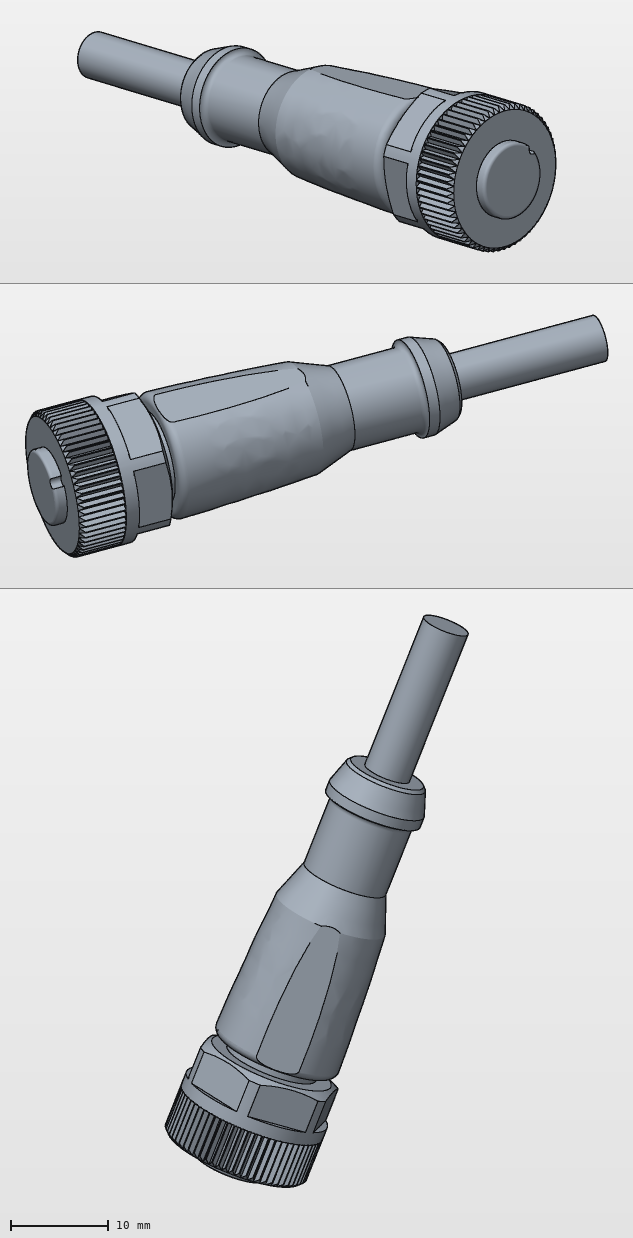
import cadquery as cq
import math


OVERALL_LENGTH = 61.51
COLLAR_START = 16.75
COLLAR_RIM_START = 19.65
COLLAR_RIM_END = 20.8
SHOULDER_START = 28.75
GRIP_START = 32.8
GRIP_END = 48.75
NUT_START = 49.7
HEX_END = 53.85
KNURL_START = 55.3
NUT_END = 60.3

CABLE_RADIUS = 4.9 / 2
COLLAR_FACE_RADIUS = 4.0
COLLAR_CONE_RADIUS = 4.34
COLLAR_EDGE = 0.35
COLLAR_RADIUS = 10.4 / 2
NECK_RADIUS = 9.0 / 2
COLLAR_ROOT_FILLET = 0.6

GRIP_START_RADIUS = 5.97
GRIP_MID_RADIUS = 6.46
GRIP_RADIUS = 6.73
GRIP_END_FILLET = 0.85
FLAT_START_HEIGHT = 5.88
FLAT_END_HEIGHT = 6.34
SPINDLE_RADIUS = 9.8 / 2

NUT_RADIUS = 15.5 / 2
NUT_FACE_RADIUS = 6.55
NUT_FACE_CHAMFER_LENGTH = 0.6
KNURL_ROOT_RADIUS = 14.5 / 2
HEX_ACROSS_FLATS = 14.0
HEX_SIDES = 6
HEX_FLAT_ANGLE = 12.0
KNURL_COUNT = 64
KNURL_WIDTH = 0.67

INSERT_RADIUS = 4.03
INSERT_EDGE_FILLET = 0.35
KEYWAY_RADIUS = 0.55
KEYWAY_ANGLE = 45.0


def cylinder(start, end, radius):
    """Cylinder on the X axis from start to end."""
    return cq.Workplane("YZ").workplane(offset=start).circle(radius).extrude(end - start)


def revolved(profile):
    """Turn an (X, radius) profile about the X axis."""
    return profile.close().revolve(360, (0, 0, 0), (1, 0, 0))


def make_collar_and_neck():
    """Tapered collar with a rounded root leading into the plain neck."""
    root_end = COLLAR_RIM_END + COLLAR_ROOT_FILLET
    root_mid_offset = COLLAR_ROOT_FILLET * (1 - math.sqrt(0.5))
    profile = (
        cq.Workplane("XY")
        .moveTo(COLLAR_START, 0)
        .lineTo(COLLAR_START, COLLAR_FACE_RADIUS)
        .lineTo(COLLAR_START + COLLAR_EDGE, COLLAR_CONE_RADIUS)
        .lineTo(COLLAR_RIM_START, COLLAR_RADIUS)
        .lineTo(COLLAR_RIM_END, COLLAR_RADIUS)
        .lineTo(COLLAR_RIM_END, NECK_RADIUS + COLLAR_ROOT_FILLET)
        .threePointArc(
            (COLLAR_RIM_END + root_mid_offset, NECK_RADIUS + root_mid_offset),
            (root_end, NECK_RADIUS),
        )
        .lineTo(SHOULDER_START, NECK_RADIUS)
        .lineTo(SHOULDER_START, 0)
    )
    return revolved(profile)


def make_grip_flat_cutter():
    """Wedge above the slightly tapered upper flat of the grip."""
    slope = (FLAT_END_HEIGHT - FLAT_START_HEIGHT) / (GRIP_END - GRIP_START)
    shoulder_height = FLAT_START_HEIGHT - slope * (GRIP_START - SHOULDER_START)
    clear_height = 2 * GRIP_RADIUS
    return (
        cq.Workplane("XZ")
        .moveTo(SHOULDER_START, shoulder_height)
        .lineTo(GRIP_END, FLAT_END_HEIGHT)
        .lineTo(GRIP_END, clear_height)
        .lineTo(SHOULDER_START, clear_height)
        .close()
        .extrude(GRIP_RADIUS, both=True)
    )


def make_grip():
    """Shoulder cone and slightly bulged grip with two opposite flats."""
    fillet_start = GRIP_END - GRIP_END_FILLET
    fillet_leg = GRIP_END_FILLET * math.sqrt(0.5)
    fillet_center_radius = GRIP_RADIUS - GRIP_END_FILLET
    profile = (
        cq.Workplane("XY")
        .moveTo(SHOULDER_START, 0)
        .lineTo(SHOULDER_START, NECK_RADIUS)
        .lineTo(GRIP_START, GRIP_START_RADIUS)
        .threePointArc(
            ((GRIP_START + fillet_start) / 2, GRIP_MID_RADIUS),
            (fillet_start, GRIP_RADIUS),
        )
        .threePointArc(
            (fillet_start + fillet_leg, fillet_center_radius + fillet_leg),
            (GRIP_END, fillet_center_radius),
        )
        .lineTo(GRIP_END, 0)
    )
    upper_cutter = make_grip_flat_cutter()
    lower_cutter = upper_cutter.mirror("XY")
    return revolved(profile).cut(upper_cutter).cut(lower_cutter)


def cut_hex(nut):
    """Mill six flats whose runs stop at a shoulder at HEX_END."""
    across_corners = HEX_ACROSS_FLATS / math.cos(math.pi / HEX_SIDES)
    corner_to_flat_angle = 180 / HEX_SIDES
    length = HEX_END - NUT_START
    hexagon = (
        cq.Workplane("YZ")
        .workplane(offset=NUT_START)
        .polygon(HEX_SIDES, across_corners)
        .extrude(length)
        .rotate((0, 0, 0), (1, 0, 0), corner_to_flat_angle + HEX_FLAT_ANGLE)
    )
    ring = cylinder(NUT_START, HEX_END, across_corners).cut(hexagon)
    return nut.cut(ring)


def cut_knurl(nut):
    """Straight V grooves to the nut end, KNURL_WIDTH wide at the nut radius."""
    depth = NUT_RADIUS - KNURL_ROOT_RADIUS
    outer_radius = NUT_RADIUS + depth
    groove = (
        cq.Workplane("YZ")
        .workplane(offset=KNURL_START)
        .moveTo(KNURL_ROOT_RADIUS, 0)
        .lineTo(outer_radius, KNURL_WIDTH)
        .lineTo(outer_radius, -KNURL_WIDTH)
        .close()
        .extrude(NUT_END - KNURL_START)
        .val()
    )
    pitch = 360 / KNURL_COUNT
    grooves = [
        groove.rotate(cq.Vector(0, 0, 0), cq.Vector(1, 0, 0), i * pitch)
        for i in range(KNURL_COUNT)
    ]
    return nut.cut(cq.Workplane(obj=cq.Compound.makeCompound(grooves)))


def make_nut():
    """Chamfered nut body with wrench flats and a knurled end."""
    end_chamfer = NUT_RADIUS - KNURL_ROOT_RADIUS
    profile = (
        cq.Workplane("XY")
        .moveTo(NUT_START, 0)
        .lineTo(NUT_START, NUT_FACE_RADIUS)
        .lineTo(NUT_START + NUT_FACE_CHAMFER_LENGTH, NUT_RADIUS)
        .lineTo(NUT_END - end_chamfer, NUT_RADIUS)
        .lineTo(NUT_END, KNURL_ROOT_RADIUS)
        .lineTo(NUT_END, 0)
    )
    return cut_knurl(cut_hex(revolved(profile)))


def make_insert():
    """Round contact carrier with a rounded rim and one keyway groove."""
    insert = cylinder(NUT_END, OVERALL_LENGTH, INSERT_RADIUS)
    insert = insert.faces(">X").edges().fillet(INSERT_EDGE_FILLET)
    keyway_angle = math.radians(KEYWAY_ANGLE)
    keyway = cylinder(NUT_END, OVERALL_LENGTH, KEYWAY_RADIUS).translate(
        (0, INSERT_RADIUS * math.cos(keyway_angle), INSERT_RADIUS * math.sin(keyway_angle))
    )
    return insert.cut(keyway)


cable = cylinder(0, COLLAR_START, CABLE_RADIUS)
spindle = cylinder(GRIP_END, NUT_START, SPINDLE_RADIUS)
result = (
    cable.union(make_collar_and_neck())
    .union(make_grip())
    .union(spindle)
    .union(make_nut())
    .union(make_insert())
)